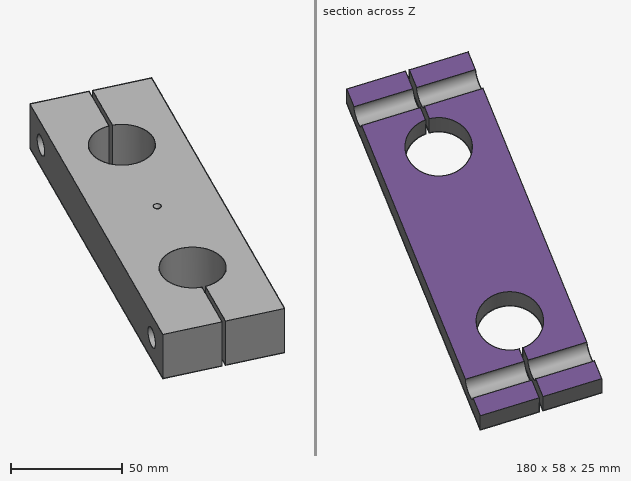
import cadquery as cq

length = 180.0
width = 58.0
height = 25.0

bore_diameter = 30.0
bore_spacing = 95.8
slit_width = 1.6

screw_hole_diameter = 10.0
screw_hole_spacing = 150.0

mark_diameter = 3.6
mark_depth = mark_diameter / 2


def make_block():
    return cq.Workplane("XY").box(length, width, height)


def cut_bores(body):
    return (
        body.faces(">Z").workplane()
        .rarray(bore_spacing, 1.8, 2, 1)
        .hole(bore_diameter)
    )


def cut_slits(body):
    slit_length = (length - bore_spacing) / 2
    for side in (-1, 1):
        slit = cq.Workplane("XY").box(slit_length, slit_width, height)
        body = body.cut(slit.translate((side * (length - slit_length) / 2, 0, 0)))
    return body


def cut_screw_holes(body):
    cutters = (
        cq.Workplane("XZ")
        .rarray(screw_hole_spacing, 1.8, 2, 1)
        .circle(screw_hole_diameter / 2)
        .extrude(width / 2, both=True)
    )
    return body.cut(cutters)


def cut_centre_mark(body):
    cone = cq.Solid.makeCone(
        mark_diameter / 2,
        0,
        mark_depth,
        pnt=cq.Vector(0, 0, height / 2),
        dir=cq.Vector(0, 0, -1),
    )
    return body.cut(cq.Workplane(cone))


result = cut_centre_mark(cut_screw_holes(cut_slits(cut_bores(make_block()))))